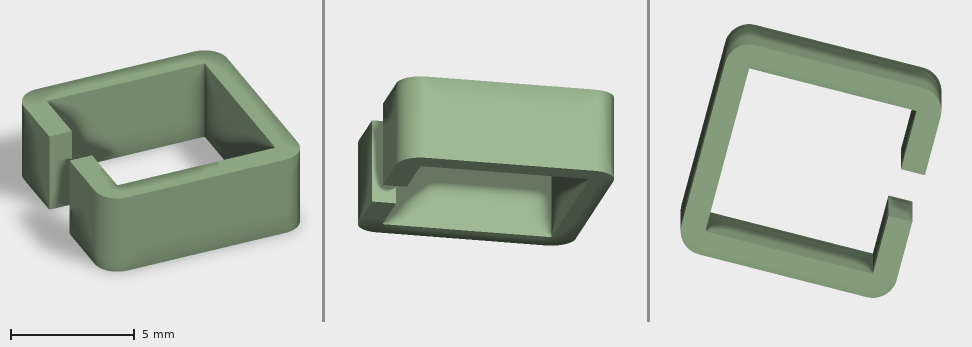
import cadquery as cq

outer_side = 9.0
height = 3.5
wall = 1.0
corner_radius = wall
gap_width = 2.0

inner_side = outer_side - 2 * wall


def square_ring():
    """Square ring with rounded outer corners and a sharp-cornered opening."""
    outer = cq.Workplane("XY").rect(outer_side, outer_side).extrude(height)
    outer = outer.edges("|Z").fillet(corner_radius)
    opening = cq.Workplane("XY").rect(inner_side, inner_side).extrude(height)
    return outer.cut(opening)


def wall_gap():
    """Block that splits the -Y wall at its middle."""
    wall_center_y = -(outer_side - wall) / 2
    return cq.Workplane("XY").center(0, wall_center_y).rect(gap_width, wall).extrude(height)


result = square_ring().cut(wall_gap())